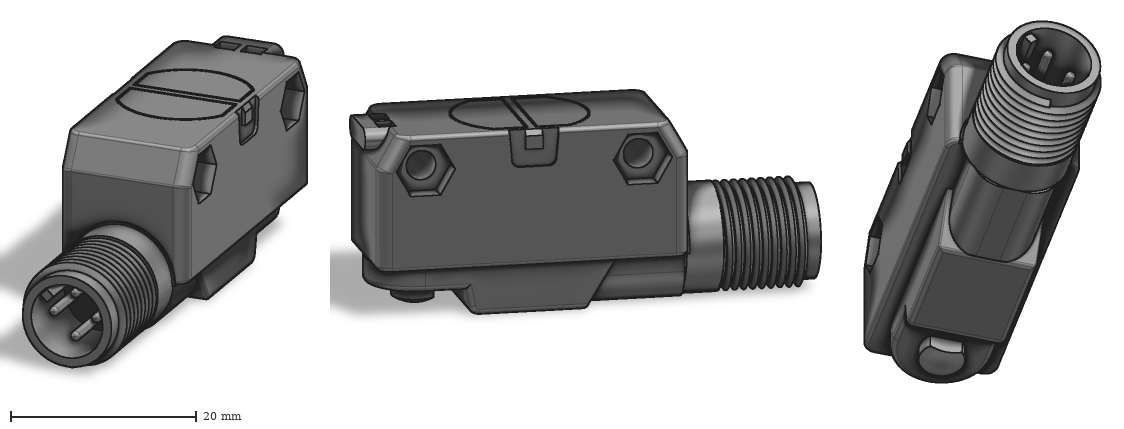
import cadquery as cq


OVERLAP = 0.5
PICK_MARGIN = 0.1

HOUSING_WIDTH = 15.0
HOUSING_LENGTH = 34.4
HOUSING_TOP = 14.9
HOUSING_BOTTOM = -0.2
BEVEL_RUN = 2.1
BEVEL_DROP = 3.65
CORNER_RADIUS = 1.5
RIM_RADIUS = 0.5
BEVEL_EDGE_RADIUS = 0.5
HALF_WIDTH = HOUSING_WIDTH / 2
MID_LENGTH = HOUSING_LENGTH / 2

MOUNT_SPACING = 24.0
MOUNT_DROP = 3.9
MOUNT_DIAMETER = 3.25
NUT_SIDES = 6
NUT_CORNERS = 6.5
NUT_DEPTH = 2.4

BASE_BOTTOM = -6.0
BASE_WIDTH = 11.1
LEDGE_BOTTOM = -3.1
STEP_TOP_Y = 24.35
STEP_BOTTOM_Y = 23.8
RAMP_TOP_Y = 7.5
RAMP_BOTTOM_Y = 11.1
BASE_RADIUS = 0.7
STEP_RADIUS = 1.2
RAMP_EDGE_RADIUS = 0.2
BASE_HALF_WIDTH = BASE_WIDTH / 2
END_CENTER_Y = HOUSING_LENGTH - BASE_HALF_WIDTH

KNOB_RADIUS = 2.5
KNOB_BOTTOM = -5.45
KNOB_FLAT = 1.75
KNOB_DOME_HEIGHT = 0.8

FLANGE_RADIUS = 6.25
FLANGE_STEP = 0.25
NECK_HALF_WIDTH = 4.83
NECK_CORNER_RADIUS = 3.5
COLLAR_RADIUS = 6.0
COLLAR_LENGTH = 4.1
TUBE_RADIUS = 5.23
TUBE_END = 15.0
BORE_RADIUS = 4.2
BORE_DEPTH = 9.0
PIN_COUNT = 4
PIN_CIRCLE_RADIUS = 2.5
PIN_RADIUS = 0.55
PIN_SETBACK = 1.9
PIN_TIP_RADIUS = 0.45
KEY_SIDE = 1.1
KEY_CENTER_RADIUS = 3.52
KEY_SETBACK = 0.3
KEY_ANGLE = 135.0

THREAD_PITCH = 1.0
THREAD_TURNS = 9.75
THREAD_START = 3.54
THREAD_CREST_RADIUS = 5.98
THREAD_ROOT_WIDTH = 0.96
THREAD_OVERLAP = 0.06

HOOK_WIDTH = 7.8
HOOK_HEIGHT = 2.45
HOOK_RADIUS = 1.2
HOOK_OVERHANG = 0.71
HOOK_POCKET_WIDTH = 2.35
HOOK_RIB_WIDTH = 0.75
HOOK_POCKET_REAR = 33.35
HOOK_POCKET_FRONT = 31.5
HOOK_POCKET_DEPTH = 2.0

LENS_RADIUS = 7.6
LENS_HALF_WIDTH = 6.3
LENS_GAP = 0.9
GROOVE_WIDTH = 0.2
GROOVE_DEPTH = 0.1

WINDOW_TOP_WIDTH = 5.5
WINDOW_BOTTOM_WIDTH = 4.8
WINDOW_HEIGHT = 4.1
WINDOW_RADIUS = 0.9
WINDOW_DEPTH = 0.4
LATCH_WIDTH = 1.9
LATCH_BOTTOM = 2.15
LATCH_SHOULDER = 0.67


def cylinder_y(radius, front, rear):
    """Cylinder on the connector axis between two Y positions."""
    return cq.Workplane("XZ", origin=(0, rear, 0)).circle(radius).extrude(rear - front)


def side_prism(points, half_width):
    """Prism of a (Y, Z) outline, centred on X = 0."""
    return cq.Workplane("YZ").polyline(points).close().extrude(half_width, both=True)


def make_housing():
    bevel_z = HOUSING_TOP - BEVEL_DROP
    rear_bevel_y = HOUSING_LENGTH - BEVEL_RUN
    body = side_prism(
        [
            (0, HOUSING_BOTTOM),
            (HOUSING_LENGTH, HOUSING_BOTTOM),
            (HOUSING_LENGTH, bevel_z),
            (rear_bevel_y, HOUSING_TOP),
            (BEVEL_RUN, HOUSING_TOP),
            (0, bevel_z),
        ],
        HALF_WIDTH,
    )
    body = body.faces("<Y or >Y").edges(">Z").fillet(BEVEL_EDGE_RADIUS)
    body = body.faces("<X or >X").edges("not #Z").fillet(CORNER_RADIUS)
    return body.faces("<Z or >Z").edges().fillet(RIM_RADIUS)


def edge_near(y, z):
    """Selector for a crosswise edge centred at the given Y and Z."""
    return cq.selectors.BoxSelector(
        (-PICK_MARGIN, y - PICK_MARGIN, z - PICK_MARGIN),
        (PICK_MARGIN, y + PICK_MARGIN, z + PICK_MARGIN),
    )


def make_base():
    profile = side_prism(
        [
            (RAMP_TOP_Y, HOUSING_BOTTOM),
            (HOUSING_LENGTH, HOUSING_BOTTOM),
            (HOUSING_LENGTH, LEDGE_BOTTOM),
            (STEP_TOP_Y, LEDGE_BOTTOM),
            (STEP_BOTTOM_Y, BASE_BOTTOM),
            (RAMP_BOTTOM_Y, BASE_BOTTOM),
        ],
        BASE_HALF_WIDTH,
    )
    plan = (
        cq.Workplane("XY", origin=(0, 0, BASE_BOTTOM))
        .moveTo(-BASE_HALF_WIDTH, 0)
        .lineTo(BASE_HALF_WIDTH, 0)
        .lineTo(BASE_HALF_WIDTH, END_CENTER_Y)
        .threePointArc((0, HOUSING_LENGTH), (-BASE_HALF_WIDTH, END_CENTER_Y))
        .close()
        .extrude(HOUSING_BOTTOM - BASE_BOTTOM)
    )
    base = profile.intersect(plan)
    base = base.edges(edge_near(STEP_BOTTOM_Y, BASE_BOTTOM)).fillet(STEP_RADIUS)
    below_housing = cq.selectors.BoxSelector(
        (-HOUSING_WIDTH, RAMP_BOTTOM_Y - PICK_MARGIN, BASE_BOTTOM - PICK_MARGIN),
        (HOUSING_WIDTH, HOUSING_LENGTH + PICK_MARGIN, HOUSING_BOTTOM - PICK_MARGIN),
    )
    rims = below_housing - edge_near(STEP_TOP_Y, LEDGE_BOTTOM)
    base = base.edges(rims).fillet(BASE_RADIUS)
    return base.faces("<Y").edges("not |X").fillet(RAMP_EDGE_RADIUS)


def make_knob():
    """Domed adjuster with one flat side facing the step."""
    height = LEDGE_BOTTOM - KNOB_BOTTOM
    cap_radius = (KNOB_RADIUS**2 + KNOB_DOME_HEIGHT**2) / (2 * KNOB_DOME_HEIGHT)
    shank = (
        cq.Workplane("XY", origin=(0, END_CENTER_Y, KNOB_BOTTOM))
        .circle(KNOB_RADIUS)
        .extrude(height + OVERLAP)
    )
    dome = cq.Workplane("XY", origin=(0, END_CENTER_Y, KNOB_BOTTOM + cap_radius)).sphere(cap_radius)
    flat = cq.Workplane("XY").box(2 * KNOB_RADIUS, 2 * KNOB_RADIUS, 2 * height)
    flat = flat.translate((0, END_CENTER_Y - KNOB_FLAT - KNOB_RADIUS, KNOB_BOTTOM))
    return shank.intersect(dome).cut(flat)


def make_neck():
    """Narrow keel with round lower corners between the ramp and the connector."""
    height = NECK_CORNER_RADIUS - BASE_BOTTOM
    neck = cq.Workplane("XY").box(2 * NECK_HALF_WIDTH, RAMP_BOTTOM_Y, height)
    neck = neck.edges("|Y and <Z").fillet(NECK_CORNER_RADIUS)
    return neck.translate((0, RAMP_BOTTOM_Y / 2, BASE_BOTTOM + height / 2))


def make_flange():
    """Thin disc segment on the housing front face, around the collar."""
    disc = cylinder_y(FLANGE_RADIUS, -FLANGE_STEP, OVERLAP)
    trim = cq.Workplane("XY").box(HOUSING_WIDTH, HOUSING_LENGTH, HOUSING_TOP - HOUSING_BOTTOM)
    return disc.intersect(trim.translate((0, 0, (HOUSING_TOP + HOUSING_BOTTOM) / 2)))


def make_thread():
    """Right-handed V ridge wound around the connector tube."""
    length = THREAD_PITCH * THREAD_TURNS
    root_radius = TUBE_RADIUS - THREAD_OVERLAP
    path = cq.Wire.makeHelix(THREAD_PITCH, length, root_radius)
    ridge = (
        cq.Workplane("XZ")
        .moveTo(root_radius, -THREAD_ROOT_WIDTH / 2)
        .lineTo(THREAD_CREST_RADIUS, 0)
        .lineTo(root_radius, THREAD_ROOT_WIDTH / 2)
        .close()
        .sweep(cq.Workplane(obj=path), isFrenet=True)
    )
    return ridge.rotate((0, 0, 0), (1, 0, 0), 90).translate((0, -THREAD_START, 0))


def make_connector():
    floor_y = BORE_DEPTH - TUBE_END
    collar = cylinder_y(COLLAR_RADIUS, -COLLAR_LENGTH, 0)
    tube = cylinder_y(TUBE_RADIUS, -TUBE_END, 0)
    connector = tube.union(make_thread()).union(collar)
    connector = connector.cut(cylinder_y(BORE_RADIUS, -TUBE_END, floor_y))
    pins = (
        cq.Workplane("XZ", origin=(0, floor_y + OVERLAP, 0))
        .polarArray(PIN_CIRCLE_RADIUS, 0, 360, PIN_COUNT)
        .circle(PIN_RADIUS)
        .extrude(BORE_DEPTH + OVERLAP - PIN_SETBACK)
        .faces("<Y")
        .edges()
        .fillet(PIN_TIP_RADIUS)
    )
    key = (
        cq.Workplane("XZ", origin=(0, floor_y + OVERLAP, 0))
        .center(KEY_CENTER_RADIUS, 0)
        .rect(KEY_SIDE, KEY_SIDE)
        .extrude(BORE_DEPTH + OVERLAP - KEY_SETBACK)
        .rotate((0, 0, 0), (0, 1, 0), -KEY_ANGLE)
    )
    return connector.union(pins).union(key)


def make_hook():
    """Ledge over the rear bevel with rounded sides."""
    rear_y = HOUSING_LENGTH + HOOK_OVERHANG
    front_y = HOUSING_LENGTH - BEVEL_RUN - OVERLAP
    hook = cq.Workplane("XY").box(HOOK_WIDTH, rear_y - front_y, HOOK_HEIGHT)
    hook = hook.edges("|Y").fillet(HOOK_RADIUS)
    return hook.translate((0, (rear_y + front_y) / 2, HOUSING_TOP - HOOK_HEIGHT / 2))


def make_hook_pockets():
    """Two pockets in the hook with floors ramping down toward the front."""
    pocket = side_prism(
        [
            (HOOK_POCKET_REAR, HOUSING_TOP),
            (HOOK_POCKET_FRONT, HOUSING_TOP),
            (HOOK_POCKET_FRONT, HOUSING_TOP - HOOK_POCKET_DEPTH),
        ],
        HOOK_POCKET_WIDTH / 2,
    )
    offset = (HOOK_RIB_WIDTH + HOOK_POCKET_WIDTH) / 2
    return pocket.translate((offset, 0, 0)).union(pocket.translate((-offset, 0, 0)))


def make_mount_cut():
    """Through hole with a hexagonal nut pocket in each side."""
    hole = cq.Workplane("YZ").circle(MOUNT_DIAMETER / 2).extrude(HALF_WIDTH, both=True)
    nuts = (
        cq.Workplane("YZ")
        .polygon(NUT_SIDES, NUT_CORNERS)
        .extrude(HALF_WIDTH, both=True)
        .cut(cq.Workplane("XY").box(HOUSING_WIDTH - 2 * NUT_DEPTH, NUT_CORNERS, NUT_CORNERS))
    )
    return hole.union(nuts)


def lens_half(inset):
    """D-shaped prism in the groove layer, shrunk by the inset on all sides."""
    disc = cq.Workplane("XY").circle(LENS_RADIUS - inset).extrude(-GROOVE_DEPTH)
    width = 2 * (LENS_HALF_WIDTH - inset)
    straight_y = LENS_GAP / 2 + inset
    window = cq.Workplane("XY").box(width, LENS_RADIUS, HOUSING_WIDTH)
    return disc.intersect(window.translate((0, straight_y + LENS_RADIUS / 2, 0)))


def make_lens_grooves():
    rear = lens_half(0).cut(lens_half(GROOVE_WIDTH))
    front = rear.mirror("XZ")
    return rear.union(front).translate((0, MID_LENGTH, HOUSING_TOP))


def make_side_window():
    """Shallow window recess in the -X side, with a latch block left standing in it."""
    top = HOUSING_TOP + OVERLAP
    bottom = HOUSING_TOP - WINDOW_HEIGHT
    top_half = WINDOW_TOP_WIDTH / 2
    bottom_half = WINDOW_BOTTOM_WIDTH / 2
    recess = (
        cq.Workplane("YZ", origin=(-HALF_WIDTH, MID_LENGTH, 0))
        .polyline(
            [
                (-top_half, top),
                (-top_half, HOUSING_TOP),
                (-bottom_half, bottom),
                (bottom_half, bottom),
                (top_half, HOUSING_TOP),
                (top_half, top),
            ]
        )
        .close()
        .extrude(WINDOW_DEPTH)
        .edges("|X and <Z")
        .fillet(WINDOW_RADIUS)
    )
    latch = (
        cq.Workplane("XZ", origin=(-HALF_WIDTH, MID_LENGTH, 0))
        .moveTo(0, HOUSING_TOP - LATCH_BOTTOM)
        .lineTo(0, HOUSING_TOP - LATCH_SHOULDER)
        .lineTo(WINDOW_DEPTH, HOUSING_TOP)
        .lineTo(WINDOW_DEPTH, HOUSING_TOP - LATCH_BOTTOM)
        .close()
        .extrude(LATCH_WIDTH / 2, both=True)
    )
    return recess.cut(latch)


def make_part():
    part = make_housing().union(make_base()).union(make_neck()).union(make_flange())
    part = part.union(make_knob()).union(make_hook()).cut(make_hook_pockets())
    mount_cut = make_mount_cut()
    for side in (-1, 1):
        mount_y = MID_LENGTH + side * MOUNT_SPACING / 2
        part = part.cut(mount_cut.translate((0, mount_y, HOUSING_TOP - MOUNT_DROP)))
    window = make_side_window()
    part = part.cut(window).cut(window.mirror("YZ"))
    part = part.cut(make_lens_grooves())
    return part.union(make_connector())


result = make_part()